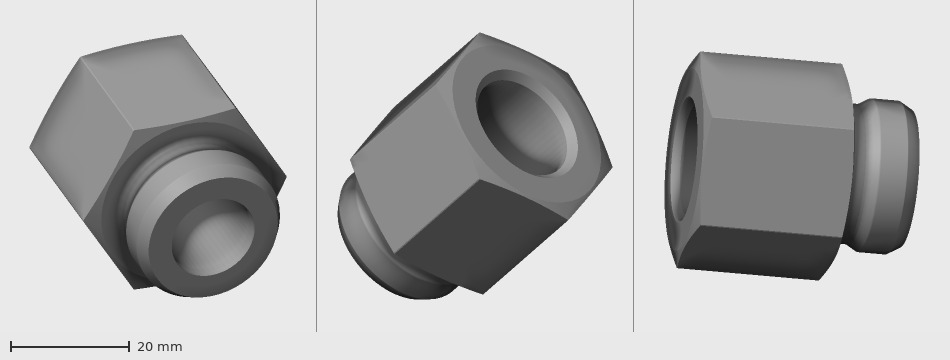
import cadquery as cq
import math

total_length = 38.0
hex_length = 26.0

across_flats = 32.0
corner_diameter = 36.82
hex_face_diameter = 30.9
hex_chamfer_angle = 15.0

spigot_diameter = 26.0
neck_diameter = 23.7
taper_angle = 30.0
neck_taper_start = 29.05
tip_chamfer_length = 2.25
hex_root_radius = 0.9
neck_root_radius = 1.03
shoulder_radius = 0.57
tip_shoulder_radius = 0.35

through_diameter = 15.0
entry_diameter = 18.65
entry_depth = 17.1
mouth_diameter = 21.28
mouth_chamfer_angle = 45.0
drill_point_angle = 118.0


def revolve_profile(points):
    """Turn a closed outline of (x, radius) points about the X axis."""
    outline = cq.Workplane("XY").polyline(points).close()
    return outline.revolve(360, (0, 0, 0), (1, 0, 0))


def make_hex_body():
    """Hexagon with flats facing up and down, chamfered at both ends."""
    across_corners = across_flats / math.cos(math.radians(30))
    prism = cq.Workplane("YZ").polygon(6, across_corners).extrude(hex_length)
    face_radius = hex_face_diameter / 2
    corner_radius = corner_diameter / 2
    chamfer_length = (corner_radius - face_radius) * math.tan(math.radians(hex_chamfer_angle))
    turned_envelope = revolve_profile([
        (0, 0),
        (0, face_radius),
        (chamfer_length, corner_radius),
        (hex_length - chamfer_length, corner_radius),
        (hex_length, face_radius),
        (hex_length, 0),
    ])
    return prism.intersect(turned_envelope)


def round_circle(body, x, radius, fillet_radius):
    """Fillet the circular edge of the given radius that lies at x."""
    margin = 0.005
    reach = radius + margin
    selector = cq.selectors.BoxSelector(
        (x - margin, -reach, -reach), (x + margin, reach, reach), boundingbox=True
    )
    return body.edges(selector).fillet(fillet_radius)


def add_spigot(body):
    """Neck, tapered shoulder and chamfered spigot, with rounded transitions."""
    neck_radius = neck_diameter / 2
    spigot_radius = spigot_diameter / 2
    slope = math.tan(math.radians(taper_angle))
    shoulder_x = neck_taper_start + (spigot_radius - neck_radius) / slope
    tip_chamfer_x = total_length - tip_chamfer_length
    tip_radius = spigot_radius - tip_chamfer_length * slope
    spigot = revolve_profile([
        (hex_length / 2, 0),
        (hex_length / 2, neck_radius),
        (neck_taper_start, neck_radius),
        (shoulder_x, spigot_radius),
        (tip_chamfer_x, spigot_radius),
        (total_length, tip_radius),
        (total_length, 0),
    ])
    body = body.union(spigot)
    body = round_circle(body, hex_length, neck_radius, hex_root_radius)
    body = round_circle(body, neck_taper_start, neck_radius, neck_root_radius)
    body = round_circle(body, shoulder_x, spigot_radius, shoulder_radius)
    return round_circle(body, tip_chamfer_x, spigot_radius, tip_shoulder_radius)


def make_bore():
    """Chamfered entry bore with a drill-point cone leading to the through hole."""
    mouth_radius = mouth_diameter / 2
    entry_radius = entry_diameter / 2
    through_radius = through_diameter / 2
    mouth_depth = (mouth_radius - entry_radius) / math.tan(math.radians(mouth_chamfer_angle))
    cone_length = (entry_radius - through_radius) / math.tan(math.radians(drill_point_angle / 2))
    return revolve_profile([
        (0, 0),
        (0, mouth_radius),
        (mouth_depth, entry_radius),
        (entry_depth, entry_radius),
        (entry_depth + cone_length, through_radius),
        (total_length, through_radius),
        (total_length, 0),
    ])


result = add_spigot(make_hex_body()).cut(make_bore())